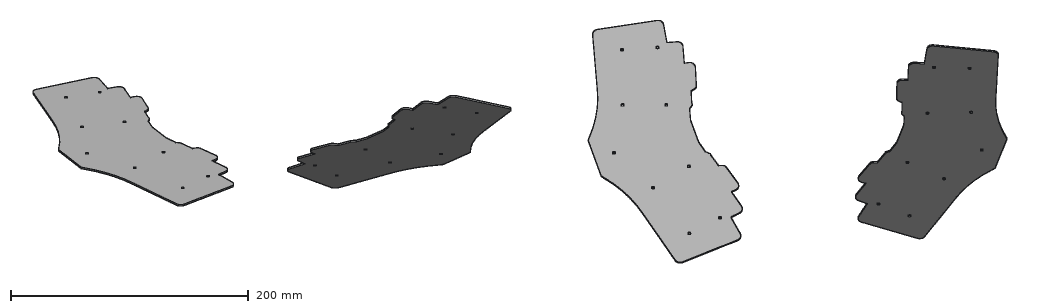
import cadquery as cq
import math

overall_length = 239.1
thickness = 1.6
hole_diameter = 2.5
corner_radius = 4.8
inner_corner_radius = 3.5
side_lean = math.radians(7.5)
bottom_slope = math.radians(13.3)
upper_outer_corner_y = 95.5

side_normal = (math.cos(side_lean), math.sin(side_lean))
bottom_normal = (math.sin(bottom_slope), -math.cos(bottom_slope))
normals_dot = side_normal[0] * bottom_normal[0] + side_normal[1] * bottom_normal[1]
corner_offset_x = corner_radius * (side_normal[0] + bottom_normal[0]) / (1 + normals_dot)
lower_outer_x = overall_length / 2 - corner_radius + corner_offset_x

bottom_corner = (18.5, 0)
curve_inner_end = (28.7, 7.5)
curve_middle = (45.7, 16.5)
curve_outer_end = (64.5, 22.5)
lower_outer_y = curve_outer_end[1] + (lower_outer_x - curve_outer_end[0]) * math.tan(bottom_slope)
lower_outer_corner = (lower_outer_x, lower_outer_y)
side_inset = (upper_outer_corner_y - lower_outer_y) * math.tan(side_lean)
upper_outer_corner = (lower_outer_x - side_inset, upper_outer_corner_y)
outer_notch = (89.7, 92.0)
middle_step_corner = (86.8, 105.0)
inner_notch = (66.0, 100.0)
top_step_outer_corner = (64.5, 109.0)
top_step_inner_corner = (40.2, 102.5)
shoulder_notch = (38.5, 97.3)
ramp_top_outer = (26.8, 94.2)
ramp_top = (25.3, 94.2)
ramp_bottom = (22.2, 90.9)
top_edge_end = (11.0, 88.2)

rounded_corners = [
    lower_outer_corner,
    upper_outer_corner,
    middle_step_corner,
    top_step_outer_corner,
]

center_hole = (0, 17.0)
paired_holes = [(42.5, 38.0), (94.5, 53.8), (87.5, 83.0), (31.5, 73.2)]


def round_corner(body, corner, radius):
    """Round the upright edge standing at one corner of the outline."""
    x, y = corner
    half_width = radius / 4
    box = cq.selectors.BoxSelector(
        (x - half_width, y - half_width, -thickness),
        (x + half_width, y + half_width, 2 * thickness),
    )
    return body.edges("|Z").edges(box).fillet(radius)


def make_half_plate():
    """Build the half on the +X side, with its corners rounded."""
    half = (
        cq.Workplane("XY")
        .moveTo(0, 0)
        .lineTo(*bottom_corner)
        .lineTo(*curve_inner_end)
        .threePointArc(curve_middle, curve_outer_end)
        .lineTo(*lower_outer_corner)
        .lineTo(*upper_outer_corner)
        .lineTo(*outer_notch)
        .lineTo(*middle_step_corner)
        .lineTo(*inner_notch)
        .lineTo(*top_step_outer_corner)
        .lineTo(*top_step_inner_corner)
        .lineTo(*shoulder_notch)
        .lineTo(*ramp_top_outer)
        .lineTo(*ramp_top)
        .lineTo(*ramp_bottom)
        .lineTo(*top_edge_end)
        .lineTo(0, top_edge_end[1])
        .close()
        .extrude(thickness)
    )
    for corner in rounded_corners:
        half = round_corner(half, corner, corner_radius)
    return round_corner(half, top_step_inner_corner, inner_corner_radius)


def drill_holes(plate):
    """Cut the center hole and the mirrored hole pairs through the plate."""
    points = [center_hole]
    for x, y in paired_holes:
        points += [(x, y), (-x, y)]
    cutters = cq.Workplane("XY").pushPoints(points).circle(hole_diameter / 2).extrude(thickness)
    return plate.cut(cutters)


half_plate = make_half_plate()
full_plate = half_plate.union(half_plate.mirror("YZ")).clean()
result = drill_holes(full_plate)